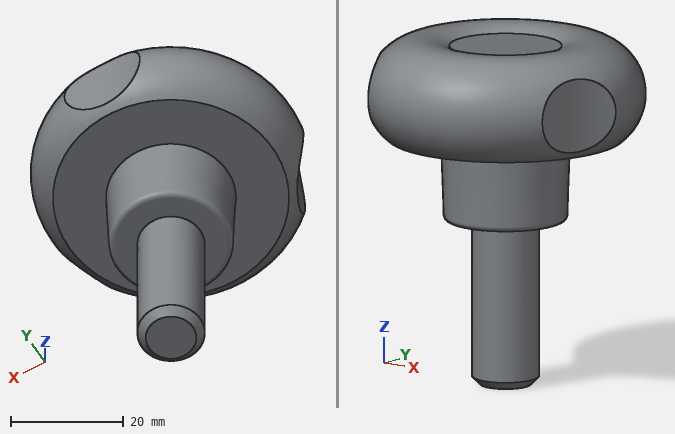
import cadquery as cq
import math

TOTAL_HEIGHT = 63.0

STUD_DIAMETER = 12.0
STUD_LENGTH = 30.0
STUD_CHAMFER = 1.5

HUB_LENGTH = 15.0
HUB_TOP_RADIUS = 11.6
HUB_BOTTOM_RADIUS = 11.0
HUB_FILLET = 1.0

HEAD_RADIUS = 25.0
SECTION_RADIUS = 10.0
DISH_RADIUS = 10.0

SCALLOP_RADIUS = 25.0
SCALLOP_FLOOR = 22.5
SCALLOP_ANGLES = (90, 210, -20)

HEAD_BOTTOM = STUD_LENGTH + HUB_LENGTH
HEAD_HEIGHT = TOTAL_HEIGHT - HEAD_BOTTOM
SECTION_CENTRE_RADIUS = HEAD_RADIUS - SECTION_RADIUS
SECTION_CENTRE_Z = TOTAL_HEIGHT - SECTION_RADIUS


def section_offset(distance):
    """Half chord of the round head section at a given distance from its centre."""
    return math.sqrt(SECTION_RADIUS**2 - distance**2)


def make_head():
    """Revolve the half section of the head about Z."""
    base_radius = SECTION_CENTRE_RADIUS + section_offset(SECTION_CENTRE_Z - HEAD_BOTTOM)
    dish_z = SECTION_CENTRE_Z + section_offset(SECTION_CENTRE_RADIUS - DISH_RADIUS)
    return (
        cq.Workplane("XZ")
        .moveTo(0, HEAD_BOTTOM)
        .lineTo(base_radius, HEAD_BOTTOM)
        .threePointArc((HEAD_RADIUS, SECTION_CENTRE_Z), (DISH_RADIUS, dish_z))
        .lineTo(0, dish_z)
        .close()
        .revolve(360, (0, 0, 0), (0, 1, 0))
    )


def make_hub():
    """Tapered hub, narrower at the bottom, with a rounded lower edge."""
    return (
        cq.Workplane("XZ")
        .moveTo(0, STUD_LENGTH)
        .lineTo(HUB_BOTTOM_RADIUS, STUD_LENGTH)
        .lineTo(HUB_TOP_RADIUS, HEAD_BOTTOM)
        .lineTo(0, HEAD_BOTTOM)
        .close()
        .revolve(360, (0, 0, 0), (0, 1, 0))
        .faces("<Z")
        .edges()
        .fillet(HUB_FILLET)
    )


def make_stud():
    """Plain round stud with a chamfered tip."""
    return (
        cq.Workplane("XY")
        .circle(STUD_DIAMETER / 2)
        .extrude(STUD_LENGTH)
        .faces("<Z")
        .chamfer(STUD_CHAMFER)
    )


def make_scallop(angle):
    """Upright cutter at one angle around the rim, as tall as the head."""
    axis_distance = SCALLOP_FLOOR + SCALLOP_RADIUS
    return (
        cq.Workplane("XY", origin=(0, 0, HEAD_BOTTOM))
        .center(axis_distance, 0)
        .circle(SCALLOP_RADIUS)
        .extrude(HEAD_HEIGHT)
        .rotate((0, 0, 0), (0, 0, 1), angle)
    )


head = make_head()
for scallop_angle in SCALLOP_ANGLES:
    head = head.cut(make_scallop(scallop_angle))

result = head.union(make_hub()).union(make_stud())